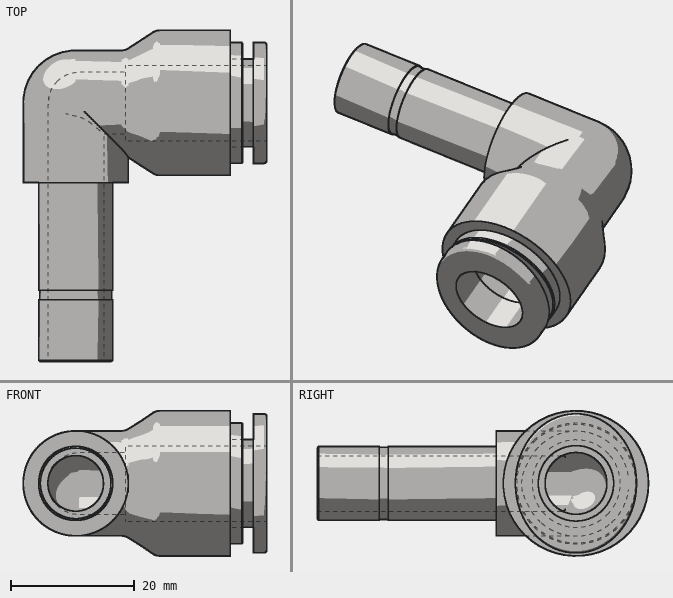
import cadquery as cq
import math


ELBOW_D = 17.0
ELBOW_R = ELBOW_D / 2
ELBOW_FACE_Y = -12.9
SHELL_D = 23.5
SHELL_R = SHELL_D / 2
SHELL_END_X = 25.0
CONE_START_X = 8.0
CONE_END_X = 13.0
CONE_BLEND_R = 2.0

STEM_D = 12.0
STEM_R = STEM_D / 2
STEM_END_Y = -41.8
GROOVE_D = 11.7
GROOVE_WIDTH = 1.5
GROOVE_END_Y = STEM_END_Y + 10.0
TIP_CHAMFER_RADIAL = 0.3
TIP_CHAMFER_AXIAL = 0.2

STEM_BORE_D = 9.0
CROSS_BORE_D = 10.0
CROSS_BORE_R = CROSS_BORE_D / 2
DOME_X = CROSS_BORE_R - STEM_BORE_D / 2
TUBE_D = 12.2

RING_D = 19.6
RING_END_X = SHELL_END_X + 2.0
RING_CHAMFER = 0.2

NECK_D = 14.2
FLANGE_WIDTH_Y = RING_D
FLANGE_HEIGHT_Z = 22.5
FLANGE_START_X = 28.7
COLLET_END_X = 30.9
FLANGE_ROUND_R = 0.5


def rod_x(diameter, start, end):
    """Round bar along X."""
    return cq.Workplane("YZ", origin=(start, 0, 0)).circle(diameter / 2).extrude(end - start)


def rod_y(diameter, start, end):
    """Round bar along Y, from the higher Y (start) down to the lower Y (end)."""
    return cq.Workplane("XZ", origin=(0, start, 0)).circle(diameter / 2).extrude(start - end)


def socket_arm():
    """Neck, rounded cone and shell, turned about X."""
    slope = math.atan2(SHELL_R - ELBOW_R, CONE_END_X - CONE_START_X)
    tangent = CONE_BLEND_R * math.tan(slope / 2)
    along_x = tangent * math.cos(slope)
    along_r = tangent * math.sin(slope)
    mid_x = CONE_BLEND_R * math.sin(slope / 2)
    mid_r = CONE_BLEND_R * (1 - math.cos(slope / 2))
    neck_x = CONE_START_X - tangent
    shell_x = CONE_END_X + tangent
    return (
        cq.Workplane("XY")
        .moveTo(0, 0)
        .lineTo(0, ELBOW_R)
        .lineTo(neck_x, ELBOW_R)
        .threePointArc((neck_x + mid_x, ELBOW_R + mid_r), (CONE_START_X + along_x, ELBOW_R + along_r))
        .lineTo(CONE_END_X - along_x, SHELL_R - along_r)
        .threePointArc((shell_x - mid_x, SHELL_R - mid_r), (shell_x, SHELL_R))
        .lineTo(SHELL_END_X, SHELL_R)
        .lineTo(SHELL_END_X, 0)
        .close()
        .revolve(360, (0, 0, 0), (1, 0, 0))
    )


def stem():
    """Grooved stem with a chamfered tip, turned about Y."""
    groove_start = GROOVE_END_Y + GROOVE_WIDTH
    groove_r = GROOVE_D / 2
    return (
        cq.Workplane("XY")
        .moveTo(0, 0)
        .lineTo(STEM_R, 0)
        .lineTo(STEM_R, groove_start)
        .lineTo(groove_r, groove_start)
        .lineTo(groove_r, GROOVE_END_Y)
        .lineTo(STEM_R, GROOVE_END_Y)
        .lineTo(STEM_R, STEM_END_Y + TIP_CHAMFER_AXIAL)
        .lineTo(STEM_R - TIP_CHAMFER_RADIAL, STEM_END_Y)
        .lineTo(0, STEM_END_Y)
        .close()
        .revolve(360, (0, 0, 0), (0, 1, 0))
    )


def make_elbow_body():
    """Elbow with its stem, shell and through passage."""
    corner = cq.Workplane("XY").sphere(ELBOW_R)
    outside = socket_arm().union(rod_y(ELBOW_D, 0, ELBOW_FACE_Y)).union(corner).union(stem())
    dome = cq.Workplane("XY", origin=(DOME_X, 0, 0)).sphere(CROSS_BORE_R)
    cross_bore = rod_x(CROSS_BORE_D, DOME_X, SHELL_END_X).union(dome)
    return (
        outside.cut(cross_bore)
        .cut(rod_y(STEM_BORE_D, 0, STEM_END_Y))
        .cut(rod_x(TUBE_D, CONE_START_X, SHELL_END_X))
    )


def make_guide_ring():
    """Ring on the end of the shell, around the collet neck."""
    disc = rod_x(RING_D, SHELL_END_X, RING_END_X).faces(">X").chamfer(RING_CHAMFER)
    return disc.cut(rod_x(NECK_D, SHELL_END_X, RING_END_X))


def make_release_collet():
    """Sleeve through the guide ring with an oval push flange."""
    flange = (
        cq.Workplane("YZ", origin=(FLANGE_START_X, 0, 0))
        .ellipse(FLANGE_WIDTH_Y / 2, FLANGE_HEIGHT_Z / 2)
        .extrude(COLLET_END_X - FLANGE_START_X)
        .faces(">X")
        .edges()
        .fillet(FLANGE_ROUND_R)
    )
    neck = rod_x(NECK_D, SHELL_END_X, FLANGE_START_X)
    return flange.union(neck).cut(rod_x(TUBE_D, SHELL_END_X, COLLET_END_X))


elbow_body = make_elbow_body()
guide_ring = make_guide_ring()
release_collet = make_release_collet()

bodies = [elbow_body, guide_ring, release_collet]
result = cq.Compound.makeCompound([body.solids().val() for body in bodies])